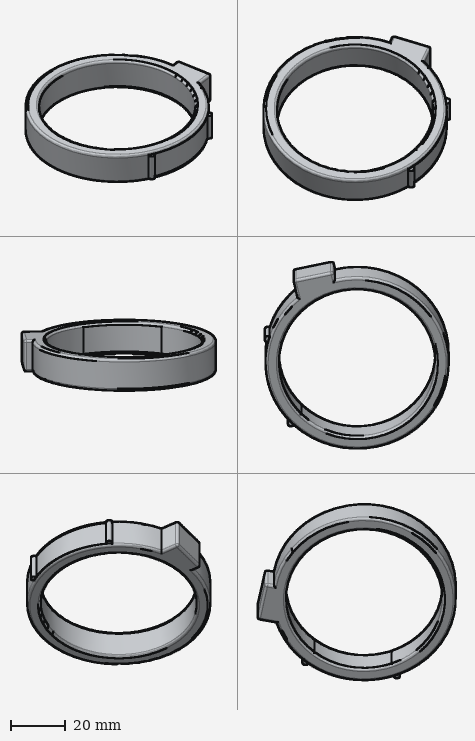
import cadquery as cq
import math

bore_radius = 28.5
wall = 5.0
outer_radius = bore_radius + wall
ring_height = 12.0
edge_round = 1.0

tab_direction = 117.0
tab_reach = 36.65
tab_right = 15.85
tab_left = 0.8

insert_start = -5.0
insert_end = 55.0
insert_height = ring_height - 2 * edge_round
rib_radius = 1.2
rib_centre_radius = 33.8


def polar(radius, angle):
    """Point at a distance and an angle in degrees around the ring axis."""
    return (
        radius * math.cos(math.radians(angle)),
        radius * math.sin(math.radians(angle)),
    )


def make_insert():
    """Sector flush with the wall, as high as the straight part of the wall."""
    middle = (insert_start + insert_end) / 2
    insert = (
        cq.Workplane("XY", origin=(0, 0, edge_round))
        .moveTo(*polar(bore_radius, insert_start))
        .lineTo(*polar(outer_radius, insert_start))
        .threePointArc(polar(outer_radius, middle), polar(outer_radius, insert_end))
        .lineTo(*polar(bore_radius, insert_end))
        .threePointArc(polar(bore_radius, middle), polar(bore_radius, insert_start))
        .close()
        .extrude(insert_height)
    )
    for angle in (insert_start, insert_end):
        rib = (
            cq.Workplane("XY", origin=(0, 0, edge_round))
            .center(*polar(rib_centre_radius, angle))
            .circle(rib_radius)
            .extrude(insert_height)
        )
        insert = insert.union(rib)
    return insert


def make_tab():
    """Block from inside the bore circle outwards, with its two outer upright edges rounded."""
    root = bore_radius - wall
    tab = (
        cq.Workplane("XY")
        .moveTo(root, -tab_right)
        .lineTo(tab_reach, -tab_right)
        .lineTo(tab_reach, -tab_left)
        .lineTo(root, -tab_left)
        .close()
        .extrude(ring_height)
        .edges("|Z and >X")
        .fillet(edge_round)
    )
    return tab.rotate((0, 0, 0), (0, 0, 1), tab_direction)


def make_ring(insert):
    """Ring and tab in one piece, rounded all round, with the pocket for the insert."""
    disc = cq.Workplane("XY").circle(outer_radius).extrude(ring_height)
    bore = cq.Workplane("XY").circle(bore_radius).extrude(ring_height)
    ring = disc.union(make_tab()).cut(bore)
    ring = ring.faces("<Z or >Z").edges().fillet(edge_round)
    return ring.cut(insert)


insert = make_insert()
ring = make_ring(insert)

result = cq.Compound.makeCompound([ring.val(), insert.val()])